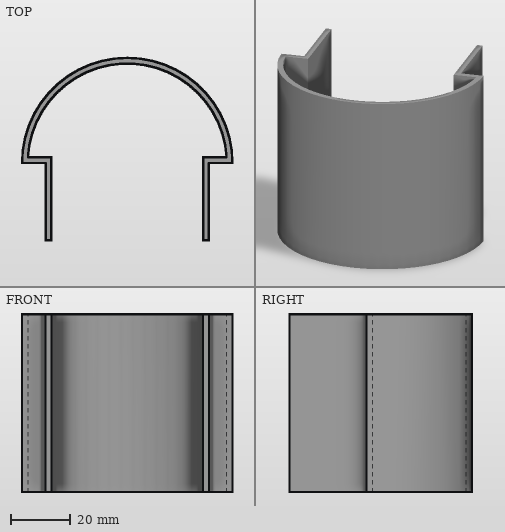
import cadquery as cq

outer_radius = 35.5
wall = 2.0
height = 60.0
leg_length = 26.1
leg_spacing = 55.1

inner_radius = outer_radius - wall
leg_outer_x = leg_spacing / 2
leg_inner_x = leg_outer_x - wall


def half_disc(radius):
    """Half cylinder on the +Y side, with its flat face on the XZ plane."""
    return (
        cq.Workplane("XY")
        .moveTo(radius, 0)
        .threePointArc((0, radius), (-radius, 0))
        .close()
        .extrude(height)
    )


def block(x_min, x_max, y_min, y_max):
    """Full-height block between the given X and Y limits."""
    return (
        cq.Workplane("XY")
        .box(x_max - x_min, y_max - y_min, height, centered=False)
        .translate((x_min, y_min, 0))
    )


shell_floor = block(-outer_radius, outer_radius, 0, wall)
shell = half_disc(outer_radius).cut(half_disc(inner_radius).cut(shell_floor))

opening = block(-leg_inner_x, leg_inner_x, 0, wall)
result = shell.cut(opening)

right_leg = block(leg_inner_x, leg_outer_x, -leg_length, wall)
left_leg = right_leg.mirror("YZ")
result = result.union(right_leg).union(left_leg)